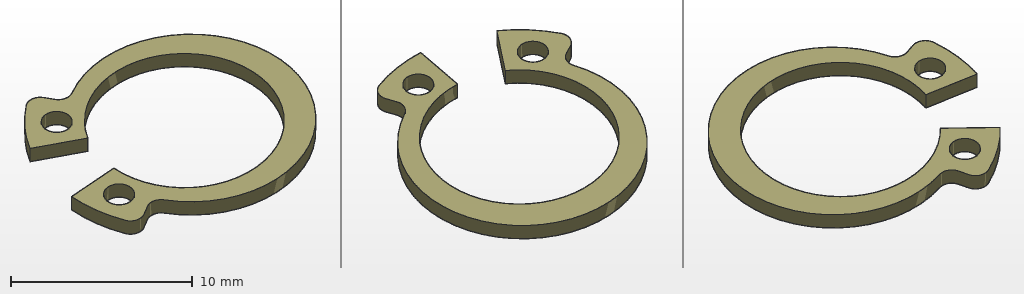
import cadquery as cq
import math

thickness = 1.0
bore_radius = 5.5
rim_radius = 6.87
rim_offset = 0.43

lug_radius = 8.8
gap_half_angle = 15.0
lug_side_angle = 43.8
lug_fillet = 0.79

hole_radius = 0.85
hole_circle_radius = 7.03
hole_angle = 29.2


def polar(radius, angle):
    """Point at an angle in degrees from -Y, positive toward +X."""
    turn = math.radians(angle)
    return (radius * math.sin(turn), -radius * math.cos(turn))


def sector(radius, start_angle, end_angle):
    """Pie slice of the ring thickness with its tip at the bore centre."""
    return (
        cq.Workplane("XY")
        .lineTo(*polar(radius, start_angle))
        .threePointArc(polar(radius, (start_angle + end_angle) / 2), polar(radius, end_angle))
        .close()
        .extrude(thickness)
    )


def upright_edge_near(point):
    """Selector for the vertical edge closest to a point in plan."""
    return cq.selectors.NearestToPointSelector((*point, thickness / 2))


side_turn = math.radians(lug_side_angle)
rim_reach = (
    math.sqrt(rim_radius**2 - (rim_offset * math.sin(side_turn)) ** 2)
    - rim_offset * math.cos(side_turn)
)

body = cq.Workplane("XY").center(0, rim_offset).circle(rim_radius).extrude(thickness)
for side in (-1, 1):
    body = body.union(sector(lug_radius, side * gap_half_angle, side * lug_side_angle))

for side in (-1, 1):
    for radius in (rim_reach, lug_radius):
        corner = polar(radius, side * lug_side_angle)
        body = body.edges("|Z").edges(upright_edge_near(corner)).fillet(lug_fillet)

bore = cq.Workplane("XY").circle(bore_radius).extrude(thickness)
gap = sector(lug_radius, -gap_half_angle, gap_half_angle)

plier_holes = (
    cq.Workplane("XY")
    .pushPoints([polar(hole_circle_radius, side * hole_angle) for side in (-1, 1)])
    .circle(hole_radius)
    .extrude(thickness)
)

result = body.cut(bore).cut(gap).cut(plier_holes)